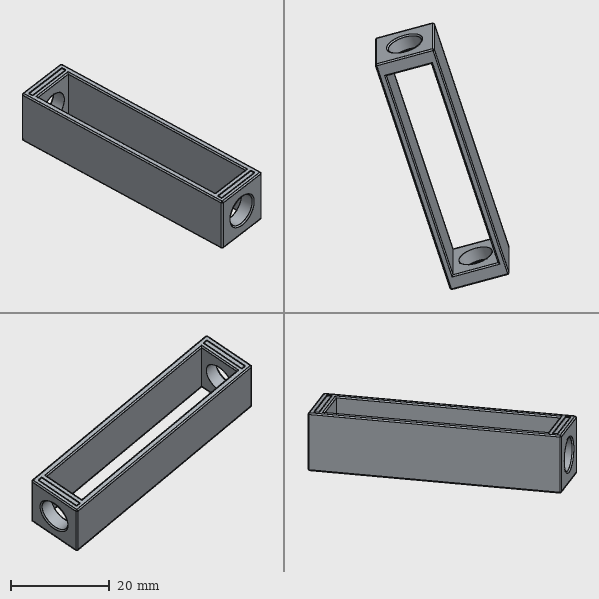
import cadquery as cq

length = 53.1
side = 12.5
edge_chamfer = 0.3

end_wall = 3.15
side_wall = 1.5
window_length = length - 2 * end_wall
window_width = side - 2 * side_wall

hole_diameter = 7.0

recess_width = 1.0
recess_length = 10.4
recess_depth = 0.2
recess_offset = (length - end_wall) / 2


def make_frame():
    """Rectangular tube open at top and bottom, with an axial hole through its ends."""
    block = cq.Workplane("XY").box(length, side, side)
    window = cq.Workplane("XY").box(window_length, window_width, side)
    hole = cq.Workplane("YZ").circle(hole_diameter / 2).extrude(length / 2, both=True)
    return block.cut(window).cut(hole)


def chamfer_outer_faces(frame):
    """Bevel every edge of the six outer faces, including window and hole rims."""
    outer_edges = frame.faces("<X or >X or <Y or >Y or <Z or >Z").edges()
    return outer_edges.chamfer(edge_chamfer)


def make_recess_cutters():
    return (
        cq.Workplane("XY", origin=(0, 0, side / 2))
        .pushPoints([(-recess_offset, 0), (recess_offset, 0)])
        .rect(recess_width, recess_length)
        .extrude(-recess_depth)
    )


result = chamfer_outer_faces(make_frame()).cut(make_recess_cutters())